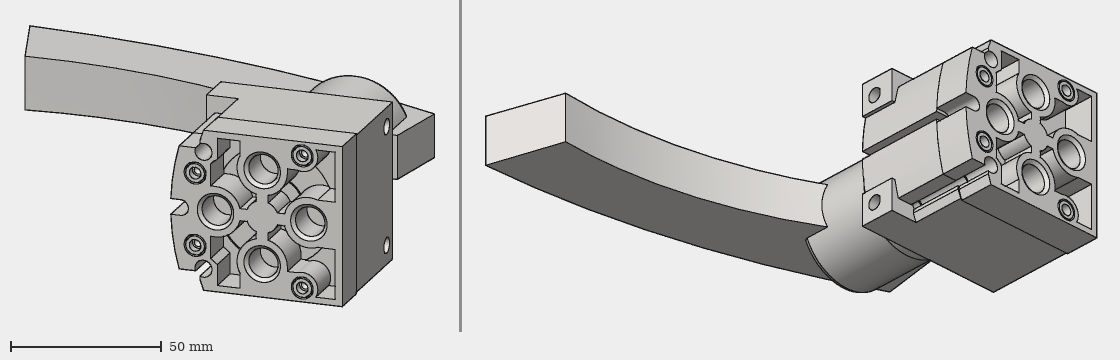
import cadquery as cq
import math


RIGHT_X = 28.2
LEFT_X = -32.3
SHOULDER_X = -29.3
SHOULDER_Z = 21.6
PLATE_HEIGHT = 56.3
HOUSING_HEIGHT = 55.2

PLATE_THICKNESS = 14.0
HOUSING_BACK_Y = 49.4
COLLAR_TOP_Y = 61.5
HUB_RIM_Y = 91.5
DOME_TOP_Y = 94.4

PLATE_NOTCH_TOP_X = -20.7
PLATE_NOTCH_ROOT_X = -22.0
HOUSING_NOTCH_TOP_X = -21.2
HOUSING_NOTCH_ROOT_X = -22.5
NOTCH_ROOT_Z = 24.5
GROOVE_X = -20.7
PLATE_GROOVE_Z = 20.5
PLATE_GROOVE_DIAMETER = 6.0
HOUSING_GROOVE_Z = 21.0
HOUSING_GROOVE_DIAMETER = 5.5
EAR_BLIND_HOLE_DIAMETER = 4.0
EAR_BLIND_HOLE_DEPTH = 4.7

SLOT_END_X = -26.0
PLATE_SLOT_WIDTH = 5.5
HOUSING_SLOT_WIDTH = 3.0

EAR_LENGTH = 14.1
EAR_INNER_Z = 15.0
EAR_HOLE_DIAMETER = 5.5
EAR_HOLE_Y = 43.6
EAR_HOLE_Z = 20.9

PORT_CIRCLE_RADIUS = 16.5
PORT_MOUTH_DIAMETER = 12.9
PORT_BORE_DIAMETER = 10.3
PORT_DEPTH = 12.5
BOSS_DIAMETER = 17.7

POCKET_DEPTH = 12.5
POCKET_TOP_Z = 25.9
POCKET_RIGHT_X = 25.7
POCKET_LEFT_X = -18.2
POCKET_UPPER_LEFT_X = -15.8
POCKET_JOG_LOW_Z = 16.6
POCKET_JOG_HIGH_Z = 18.5
PILLAR_DIAMETER = 11.5
RIB_WIDTH = 4.2
RIGHT_BAR_HALF_HEIGHT = 8.3
TOP_BAR_HALF_WIDTH = 7.8
SCREW_PAD_BOTTOM_Z = 18.0
SCREW_PAD_RADIUS = 5.5
RING_OUTER_RADIUS = 21.0
RING_INNER_RADIUS = 10.0
RING_DEPTH = 0.8

LEFT_SCREW = (-23.7, 12.7)
RIGHT_SCREW = (14.1, 23.2)
COUNTERBORE_DIAMETER = 7.7
SCREW_HEAD_DIAMETER = 6.6
COUNTERBORE_DEPTH = 1.5
SOCKET_DIAMETER = 4.0
SOCKET_DEPTH = 3.1
SOCKET_TIP_DIAMETER = 2.8

HUB_DIAMETER = 40.0
HUB_CHAMFER_WIDTH = 0.5
HUB_CHAMFER_LENGTH = 1.3
WAIST_ARC_RADIUS = 48.0
LEVER_TIP_HALF_HEIGHT = 9.5
LEVER_ROOT_HALF_HEIGHT = 7.7

LEVER_TIP_BACK = (-128.5, 129.7)
LEVER_BACK_MIDDLE = (-52.7, 121.7)
LEVER_ROOT_BACK = (26.0, 96.6)
LEVER_ROOT_FRONT = (21.8, 71.8)
LEVER_FRONT_END = (-2.8, 71.8)
LEVER_FRONT_MIDDLE = (-62.9, 96.6)
LEVER_TIP_FRONT = (-119.8, 100.5)


def prism(sketch, start_y, end_y):
    """Extrude a closed XZ sketch from start_y to end_y."""
    return sketch.extrude(start_y - end_y).translate((0, start_y, 0))


def xz():
    """Sketch plane with X to the right and Z up."""
    return cq.Workplane("XZ")


def box(x_range, y_range, z_range):
    """Block between the given (low, high) pairs."""
    size = [high - low for low, high in (x_range, y_range, z_range)]
    corner = (x_range[0], y_range[0], z_range[0])
    return cq.Workplane("XY").box(*size, centered=False).translate(corner)


def rod(x, z, diameter, start_y, end_y):
    """Cylinder along Y, centered at (x, z)."""
    return prism(xz().center(x, z).circle(diameter / 2), start_y, end_y)


def turned(profile):
    """Revolve a (radius, y) polygon about the Y axis."""
    return cq.Workplane("XY").polyline(profile).close().revolve(360, (0, 0), (0, 1))


def both_halves(upper):
    """Add the mirror image below Z = 0."""
    return upper.union(upper.mirror("XY"))


def block(half_height, notch_top_x, notch_root_x, start_y, end_y):
    """Rectangular block with a bowed left side and notched left corners."""
    outline = (
        xz()
        .moveTo(SHOULDER_X, -SHOULDER_Z)
        .threePointArc((LEFT_X, 0), (SHOULDER_X, SHOULDER_Z))
        .lineTo(notch_root_x, SHOULDER_Z)
        .lineTo(notch_root_x, NOTCH_ROOT_Z)
        .lineTo(notch_top_x, half_height)
        .lineTo(RIGHT_X, half_height)
        .lineTo(RIGHT_X, -half_height)
        .lineTo(notch_top_x, -half_height)
        .lineTo(notch_root_x, -NOTCH_ROOT_Z)
        .lineTo(notch_root_x, -SHOULDER_Z)
        .close()
    )
    return prism(outline, start_y, end_y)


def side_slot(width, start_y, end_y):
    """Round-ended slot that opens on the left side."""
    center_x = SLOT_END_X - width / 2
    channel = box((LEFT_X, center_x), (start_y, end_y), (-width / 2, width / 2))
    return channel.union(rod(center_x, 0, width, start_y, end_y))


def upper_pockets():
    """Pockets above the ribs, cleared of bosses, bars, pads, pillar and ribs."""
    depth = (0, POCKET_DEPTH + RING_DEPTH)
    area = prism(
        xz()
        .moveTo(POCKET_LEFT_X, 0)
        .lineTo(POCKET_LEFT_X, POCKET_JOG_LOW_Z)
        .lineTo(POCKET_UPPER_LEFT_X, POCKET_JOG_HIGH_Z)
        .lineTo(POCKET_UPPER_LEFT_X, POCKET_TOP_Z)
        .lineTo(POCKET_RIGHT_X, POCKET_TOP_Z)
        .lineTo(POCKET_RIGHT_X, 0)
        .close(),
        *depth,
    )
    floor_span = (POCKET_DEPTH, POCKET_DEPTH + RING_DEPTH)
    ring = rod(0, 0, 2 * RING_OUTER_RADIUS, *floor_span).cut(
        rod(0, 0, 2 * RING_INNER_RADIUS, *floor_span)
    )
    area = area.cut(box((POCKET_LEFT_X, POCKET_RIGHT_X), floor_span, (0, POCKET_TOP_Z)).cut(ring))

    screw_x, screw_z = RIGHT_SCREW
    solid_parts = [
        rod(-PORT_CIRCLE_RADIUS, 0, BOSS_DIAMETER, *depth),
        rod(PORT_CIRCLE_RADIUS, 0, BOSS_DIAMETER, *depth),
        rod(0, PORT_CIRCLE_RADIUS, BOSS_DIAMETER, *depth),
        rod(0, 0, PILLAR_DIAMETER, *depth),
        rod(screw_x, screw_z, 2 * SCREW_PAD_RADIUS, *depth),
        box((-PORT_CIRCLE_RADIUS, PORT_CIRCLE_RADIUS), depth, (0, RIB_WIDTH / 2)),
        box((-RIB_WIDTH / 2, RIB_WIDTH / 2), depth, (0, PORT_CIRCLE_RADIUS)),
        box((PORT_CIRCLE_RADIUS, POCKET_RIGHT_X), depth, (0, RIGHT_BAR_HALF_HEIGHT)),
        box((POCKET_LEFT_X, -PORT_CIRCLE_RADIUS), depth, (0, BOSS_DIAMETER / 2)),
        box((-TOP_BAR_HALF_WIDTH, BOSS_DIAMETER / 2), depth, (PORT_CIRCLE_RADIUS, POCKET_TOP_Z)),
        box((0, screw_x), depth, (SCREW_PAD_BOTTOM_Z, POCKET_TOP_Z)),
    ]
    for part in solid_parts:
        area = area.cut(part)
    return area


def port(x, z):
    """Blind bore with a countersunk mouth."""
    mouth_depth = (PORT_MOUTH_DIAMETER - PORT_BORE_DIAMETER) / 2
    profile = [
        (0, 0),
        (PORT_MOUTH_DIAMETER / 2, 0),
        (PORT_BORE_DIAMETER / 2, mouth_depth),
        (PORT_BORE_DIAMETER / 2, PORT_DEPTH),
        (0, PORT_DEPTH),
    ]
    return turned(profile).translate((x, 0, z))


def screw_recess(x, z):
    """Counterbore around a flush screw head with a conical-bottomed socket."""
    groove = rod(x, z, COUNTERBORE_DIAMETER, 0, COUNTERBORE_DEPTH).cut(
        rod(x, z, SCREW_HEAD_DIAMETER, 0, COUNTERBORE_DEPTH)
    )
    radius = SOCKET_DIAMETER / 2
    tip_radius = SOCKET_TIP_DIAMETER / 2
    profile = [
        (0, 0),
        (radius, 0),
        (radius, SOCKET_DEPTH),
        (tip_radius, SOCKET_DEPTH),
        (0, SOCKET_DEPTH + tip_radius),
    ]
    socket = turned(profile)
    return groove.union(socket.translate((x, 0, z)))


def make_port_plate():
    """Front plate with four ports, pockets and screws."""
    span = (0, PLATE_THICKNESS)
    plate = block(PLATE_HEIGHT / 2, PLATE_NOTCH_TOP_X, PLATE_NOTCH_ROOT_X, *span)
    plate = plate.cut(side_slot(PLATE_SLOT_WIDTH, *span))
    plate = plate.cut(both_halves(rod(GROOVE_X, PLATE_GROOVE_Z, PLATE_GROOVE_DIAMETER, *span)))
    plate = plate.cut(both_halves(upper_pockets()))
    for quarter in range(4):
        angle = math.radians(90 * quarter)
        x = PORT_CIRCLE_RADIUS * math.cos(angle)
        z = PORT_CIRCLE_RADIUS * math.sin(angle)
        plate = plate.cut(port(x, z))
    for x, z in (LEFT_SCREW, RIGHT_SCREW):
        plate = plate.cut(both_halves(screw_recess(x, z)))
    return plate


def collar():
    """Collar with a hollow flank, between the housing and the handle hub."""
    radius = HUB_DIAMETER / 2
    half_length = (COLLAR_TOP_Y - HOUSING_BACK_Y) / 2
    sag = WAIST_ARC_RADIUS - math.sqrt(WAIST_ARC_RADIUS**2 - half_length**2)
    return (
        cq.Workplane("XY")
        .moveTo(0, HOUSING_BACK_Y)
        .lineTo(radius, HOUSING_BACK_Y)
        .threePointArc((radius - sag, HOUSING_BACK_Y + half_length), (radius, COLLAR_TOP_Y))
        .lineTo(0, COLLAR_TOP_Y)
        .close()
        .revolve(360, (0, 0), (0, 1))
    )


def make_housing():
    """Housing with two mounting ears and the collar that carries the handle."""
    span = (PLATE_THICKNESS, HOUSING_BACK_Y)
    ear_span = (HOUSING_BACK_Y - EAR_LENGTH, HOUSING_BACK_Y)
    groove_span = (PLATE_THICKNESS, ear_span[0])
    housing = block(HOUSING_HEIGHT / 2, HOUSING_NOTCH_TOP_X, HOUSING_NOTCH_ROOT_X, *span)
    groove = rod(GROOVE_X, HOUSING_GROOVE_Z, HOUSING_GROOVE_DIAMETER, *groove_span)
    housing = housing.cut(both_halves(groove))
    housing = housing.cut(side_slot(HOUSING_SLOT_WIDTH, *span))
    ear = box((LEFT_X, GROOVE_X), ear_span, (EAR_INNER_Z, HOUSING_HEIGHT / 2))
    housing = housing.union(both_halves(ear))
    blind_span = (ear_span[0], ear_span[0] + EAR_BLIND_HOLE_DEPTH)
    blind_hole = rod(GROOVE_X, HOUSING_GROOVE_Z, EAR_BLIND_HOLE_DIAMETER, *blind_span)
    housing = housing.cut(both_halves(blind_hole))
    ear_hole = (
        cq.Workplane("YZ")
        .center(EAR_HOLE_Y, EAR_HOLE_Z)
        .circle(EAR_HOLE_DIAMETER / 2)
        .extrude(RIGHT_X - LEFT_X)
        .translate((LEFT_X, 0, 0))
    )
    housing = housing.cut(both_halves(ear_hole))
    return housing.union(collar())


def hub():
    """Round hub with a chamfered rim and a shallow domed end."""
    radius = HUB_DIAMETER / 2
    dome_edge = radius - HUB_CHAMFER_WIDTH
    rise = DOME_TOP_Y - HUB_RIM_Y
    dome_radius = (dome_edge**2 + rise**2) / (2 * rise)
    half_way = dome_edge / 2
    half_way_y = DOME_TOP_Y - dome_radius + math.sqrt(dome_radius**2 - half_way**2)
    return (
        cq.Workplane("XY")
        .moveTo(0, COLLAR_TOP_Y)
        .lineTo(radius, COLLAR_TOP_Y)
        .lineTo(radius, HUB_RIM_Y - HUB_CHAMFER_LENGTH)
        .lineTo(dome_edge, HUB_RIM_Y)
        .threePointArc((half_way, half_way_y), (0, DOME_TOP_Y))
        .close()
        .revolve(360, (0, 0), (0, 1))
    )


def lever():
    """Curved lever whose height tapers evenly from its tip to its root."""
    side = (
        cq.Workplane("XY")
        .workplane(offset=-LEVER_TIP_HALF_HEIGHT)
        .moveTo(*LEVER_TIP_BACK)
        .threePointArc(LEVER_BACK_MIDDLE, LEVER_ROOT_BACK)
        .lineTo(*LEVER_ROOT_FRONT)
        .lineTo(*LEVER_FRONT_END)
        .threePointArc(LEVER_FRONT_MIDDLE, LEVER_TIP_FRONT)
        .close()
        .extrude(2 * LEVER_TIP_HALF_HEIGHT)
    )
    tip_x, tip_y = LEVER_TIP_BACK
    root_x = LEVER_ROOT_BACK[0]
    wedge = (
        xz()
        .moveTo(tip_x, LEVER_TIP_HALF_HEIGHT)
        .lineTo(root_x, LEVER_ROOT_HALF_HEIGHT)
        .lineTo(root_x, -LEVER_ROOT_HALF_HEIGHT)
        .lineTo(tip_x, -LEVER_TIP_HALF_HEIGHT)
        .close()
    )
    return side.intersect(prism(wedge, COLLAR_TOP_Y, tip_y))


def make_handle():
    """Hub and lever in one piece."""
    return hub().union(lever())


port_plate = make_port_plate()
housing = make_housing()
handle = make_handle()

result = cq.Compound.makeCompound([port_plate.val(), housing.val(), handle.val()])